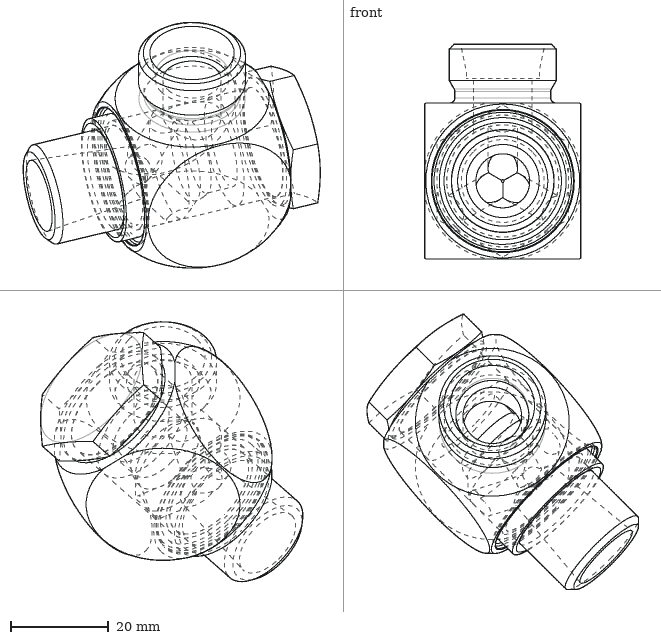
import cadquery as cq
import math


HOUSING_SIZE = 32.0
FACE_CIRCLE_RADIUS = 15.75
HOUSING_BACK_Y = 15.5
HOUSING_BORE_DIAMETER = 23.0
RECESS_DIAMETER = 29.0
RECESS_FLOOR_DIAMETER = 28.15
RECESS_DEPTH = 1.2
RECESS_RIM_CHAMFER = 0.15
RECESS_TAPER_HEIGHT = 0.35

PORT_TOP_Z = 28.0
PORT_DIAMETER = 22.0
PORT_CHAMFER = 1.0
THREAD_END_Z = 20.55
RUNOUT_ANGLE = 30
NECK_DIAMETER = 19.7
NECK_FILLET = 1.0
PORT_BORE_DIAMETER = 12.0
TUBE_SEAT_DIAMETER = 15.0
TUBE_SEAT_Z = 21.0
CONE_MOUTH_DIAMETER = 17.3
TUBE_CONE_ANGLE = 12

BOLT_TIP_Y = -33.5
BOLT_HEAD_Y = 23.0
HEX_SIDES = 6
HEX_ACROSS_FLATS = 27.0
HEX_LENGTH = 6.5
HEX_CHAMFER_ANGLE = 15
COLLAR_GAP = 0.1
THREAD_DIAMETER = 20.95
TIP_CHAMFER = 1.25
SHANK_DIAMETER = 22.95
WAIST_DIAMETER = 15.0
WAIST_FILLET_BACK_Y = 1.35
WAIST_BACK_Y = 7.05
WAIST_FILLET_RADIUS = 4.3
WAIST_CONE_ANGLE = 40
BORE_MOUTH_DIAMETER = 15.0
BORE_END_DIAMETER = 11.0
BORE_END_Y = -12.1
DRILL_POINT_ANGLE = 59
CROSS_HOLE_DIAMETER = 6.0
CROSS_HOLE_COUNT = 3
CROSS_HOLE_TILT = 60
CROSS_HOLE_START_Y = -12.55
CROSS_HOLE_LENGTH = 28.25

RING_DIAMETER = 26.0
RING_BORE_DIAMETER = 21.1
RING_FRONT_Y = -19.5
RING_EDGE_DIAMETER = 24.05
RING_BEVEL = 0.15
RING_DISH_DEPTH = 0.55

HALF_SIZE = HOUSING_SIZE / 2
HOUSING_FRONT_Y = -HALF_SIZE
RECESS_FLOOR_Y = HOUSING_FRONT_Y + RECESS_DEPTH
HEX_FRONT_Y = BOLT_HEAD_Y - HEX_LENGTH


def sin(degrees):
    return math.sin(math.radians(degrees))


def cos(degrees):
    return math.cos(math.radians(degrees))


def tan(degrees):
    return math.tan(math.radians(degrees))


def turn_about_y(profile):
    """Turn a closed (radius, y) profile about the bolt axis."""
    return profile.close().revolve(360, (0, 0), (0, 1))


def turned_y(points):
    return turn_about_y(cq.Workplane("XY").polyline(points))


def turned_z(points):
    """Turn a closed (radius, z) outline about the port axis."""
    return cq.Workplane("XZ").polyline(points).close().revolve(360, (0, 0), (0, 1))


def disc_y(diameter, front_y, back_y):
    """Cylinder on the bolt axis between two Y positions."""
    return cq.Workplane("XZ", origin=(0, front_y, 0)).circle(diameter / 2).extrude(front_y - back_y)


def housing_block():
    """Cube whose corners and edges are rounded off by a sphere."""
    length = HOUSING_BACK_Y - HOUSING_FRONT_Y
    middle_y = (HOUSING_BACK_Y + HOUSING_FRONT_Y) / 2
    block = cq.Workplane("XY").box(HOUSING_SIZE, length, HOUSING_SIZE).translate((0, middle_y, 0))
    return block.intersect(cq.Workplane("XY").sphere(math.hypot(HALF_SIZE, FACE_CIRCLE_RADIUS)))


def port_neck():
    """Threaded port stub with its undercut neck, starting inside the block."""
    port_r = PORT_DIAMETER / 2
    neck_r = NECK_DIAMETER / 2
    foot_r = neck_r + NECK_FILLET
    corner_z = THREAD_END_Z - (port_r - neck_r) / tan(RUNOUT_ANGLE)
    fillet_start_z = corner_z - NECK_FILLET * tan(RUNOUT_ANGLE / 2)
    fillet_end_z = fillet_start_z + NECK_FILLET * sin(RUNOUT_ANGLE)
    fillet_end_r = neck_r + NECK_FILLET * (1 - cos(RUNOUT_ANGLE))
    root_z = HALF_SIZE - NECK_FILLET
    return (
        cq.Workplane("XZ")
        .moveTo(0, root_z)
        .lineTo(foot_r, root_z)
        .lineTo(foot_r, HALF_SIZE)
        .radiusArc((neck_r, HALF_SIZE + NECK_FILLET), NECK_FILLET)
        .lineTo(neck_r, fillet_start_z)
        .radiusArc((fillet_end_r, fillet_end_z), NECK_FILLET)
        .lineTo(port_r, THREAD_END_Z)
        .lineTo(port_r, PORT_TOP_Z - PORT_CHAMFER)
        .lineTo(port_r - PORT_CHAMFER, PORT_TOP_Z)
        .lineTo(0, PORT_TOP_Z)
        .close()
        .revolve(360, (0, 0), (0, 1))
    )


def port_bore():
    """Bore into the bolt chamber, with the tube seat and the sealing cone above it."""
    bore_r = PORT_BORE_DIAMETER / 2
    seat_r = TUBE_SEAT_DIAMETER / 2
    mouth_r = CONE_MOUTH_DIAMETER / 2
    cone_bottom_z = PORT_TOP_Z - (mouth_r - seat_r) / tan(TUBE_CONE_ANGLE)
    return turned_z([
        (0, 0),
        (bore_r, 0),
        (bore_r, TUBE_SEAT_Z),
        (seat_r, TUBE_SEAT_Z),
        (seat_r, cone_bottom_z),
        (mouth_r, PORT_TOP_Z),
        (0, PORT_TOP_Z),
    ])


def front_recess():
    """Shallow recess in the front face, with a chamfered rim and a tapered foot."""
    wall_r = RECESS_DIAMETER / 2
    return turned_y([
        (0, HOUSING_FRONT_Y),
        (wall_r + RECESS_RIM_CHAMFER, HOUSING_FRONT_Y),
        (wall_r, HOUSING_FRONT_Y + RECESS_RIM_CHAMFER),
        (wall_r, RECESS_FLOOR_Y - RECESS_TAPER_HEIGHT),
        (RECESS_FLOOR_DIAMETER / 2, RECESS_FLOOR_Y),
        (0, RECESS_FLOOR_Y),
    ])


def make_housing():
    body = housing_block().union(port_neck()).cut(port_bore())
    body = body.cut(disc_y(HOUSING_BORE_DIAMETER, HOUSING_FRONT_Y, HOUSING_BACK_Y))
    return body.cut(front_recess())


def bolt_head():
    """Hexagon with corners up and down, chamfered at both ends to the inscribed circle."""
    flat_r = HEX_ACROSS_FLATS / 2
    half_side_angle = 180 / HEX_SIDES
    corner_r = flat_r / cos(half_side_angle)
    hexagon = (
        cq.Workplane("XZ", origin=(0, HEX_FRONT_Y, 0))
        .polygon(HEX_SIDES, 2 * corner_r)
        .extrude(-HEX_LENGTH)
        .rotate((0, 0, 0), (0, 1, 0), half_side_angle)
    )
    outer_r = 2 * flat_r
    chamfer_rise = (outer_r - flat_r) * tan(HEX_CHAMFER_ANGLE)
    middle_y = (HEX_FRONT_Y + BOLT_HEAD_Y) / 2
    front_cone = turned_y([
        (0, HEX_FRONT_Y),
        (flat_r, HEX_FRONT_Y),
        (outer_r, HEX_FRONT_Y + chamfer_rise),
        (outer_r, BOLT_HEAD_Y),
        (0, BOLT_HEAD_Y),
    ])
    back_cone = front_cone.mirror("XZ", (0, middle_y, 0))
    return hexagon.intersect(front_cone).intersect(back_cone)


def bolt_shaft():
    """Threaded end, shank and collar, with a waist that forms the chamber below the port."""
    collar_r = HEX_ACROSS_FLATS / 2
    collar_front_y = HOUSING_BACK_Y + COLLAR_GAP
    thread_r = THREAD_DIAMETER / 2
    shank_r = SHANK_DIAMETER / 2
    waist_r = WAIST_DIAMETER / 2
    fillet_front_r = waist_r + WAIST_FILLET_RADIUS * (1 - cos(WAIST_CONE_ANGLE))
    fillet_front_y = WAIST_FILLET_BACK_Y - WAIST_FILLET_RADIUS * sin(WAIST_CONE_ANGLE)
    cone_front_y = fillet_front_y - (shank_r - fillet_front_r) / tan(WAIST_CONE_ANGLE)
    return turn_about_y(
        cq.Workplane("XY")
        .moveTo(0, BOLT_TIP_Y)
        .lineTo(thread_r - TIP_CHAMFER, BOLT_TIP_Y)
        .lineTo(thread_r, BOLT_TIP_Y + TIP_CHAMFER)
        .lineTo(thread_r, RECESS_FLOOR_Y)
        .lineTo(shank_r, RECESS_FLOOR_Y)
        .lineTo(shank_r, cone_front_y)
        .lineTo(fillet_front_r, fillet_front_y)
        .radiusArc((waist_r, WAIST_FILLET_BACK_Y), -WAIST_FILLET_RADIUS)
        .lineTo(waist_r, WAIST_BACK_Y)
        .lineTo(shank_r, WAIST_BACK_Y)
        .lineTo(shank_r, collar_front_y)
        .lineTo(collar_r, collar_front_y)
        .lineTo(collar_r, HEX_FRONT_Y)
        .lineTo(0, HEX_FRONT_Y)
    )


def bolt_bore():
    """Tapered blind bore ending in a drill point."""
    end_r = BORE_END_DIAMETER / 2
    return turned_y([
        (0, BOLT_TIP_Y),
        (BORE_MOUTH_DIAMETER / 2, BOLT_TIP_Y),
        (end_r, BORE_END_Y),
        (0, BORE_END_Y + end_r / tan(DRILL_POINT_ANGLE)),
    ])


def cross_hole(turn):
    """Slanted hole from the end of the bore out through the waist cone."""
    plane = cq.Plane(
        origin=(0, CROSS_HOLE_START_Y, 0),
        xDir=(1, 0, 0),
        normal=(0, cos(CROSS_HOLE_TILT), sin(CROSS_HOLE_TILT)),
    )
    hole = cq.Workplane(plane).circle(CROSS_HOLE_DIAMETER / 2).extrude(CROSS_HOLE_LENGTH)
    return hole.rotate((0, 0, 0), (0, 1, 0), turn)


def make_bolt():
    bolt = bolt_shaft().union(bolt_head()).cut(bolt_bore())
    for i in range(CROSS_HOLE_COUNT):
        bolt = bolt.cut(cross_hole(360 / CROSS_HOLE_COUNT * i))
    return bolt


def make_sealing_ring():
    """Ring on the recess floor, with a raised sealing edge and a dished front."""
    bore_r = RING_BORE_DIAMETER / 2
    outer_r = RING_DIAMETER / 2
    return turned_y([
        (bore_r, RECESS_FLOOR_Y),
        (outer_r, RECESS_FLOOR_Y),
        (outer_r, RING_FRONT_Y + RING_BEVEL),
        (RING_EDGE_DIAMETER / 2, RING_FRONT_Y),
        (bore_r, RING_FRONT_Y + RING_DISH_DEPTH),
    ])


housing = make_housing()
bolt = make_bolt()
sealing_ring = make_sealing_ring()

result = cq.Compound.makeCompound([housing.val(), bolt.val(), sealing_ring.val()])